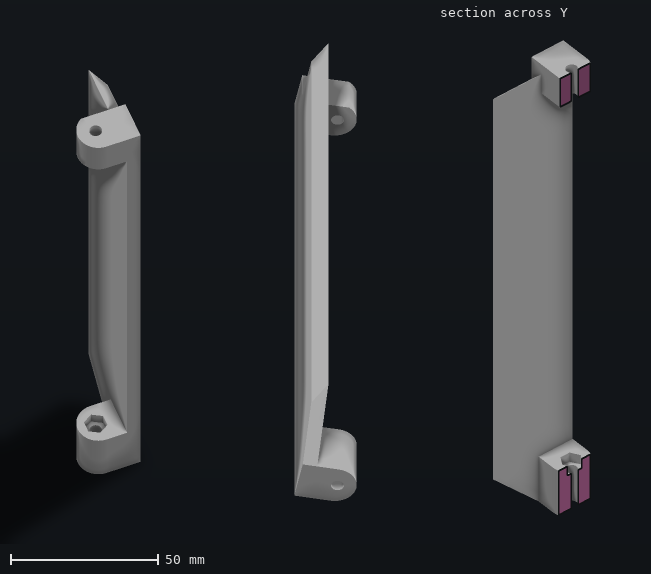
import cadquery as cq
import math

plate_width = 35.0
plate_thickness = 5.0
total_height = 191.2
edge_bevel = plate_thickness
tab_rise = 4.6
corner_height = 20.0

knuckle_width = 15.0
knuckle_radius = knuckle_width / 2
lower_knuckle_height = 19.6
upper_knuckle_height = 12.6
upper_knuckle_trim = 1.0

pivot_diameter = 4.4
pivot_distance = 8.5
nut_sides = 6
nut_across_flats = 7.0
nut_across_corners = nut_across_flats / math.cos(math.pi / nut_sides)
nut_pocket_depth = 4.0

knuckle_left = plate_width - knuckle_width
knuckle_middle = plate_width - knuckle_radius
tab_left = knuckle_left + upper_knuckle_trim
shoulder_height = total_height - tab_rise
upper_knuckle_bottom = total_height - upper_knuckle_height


def make_plate():
    """Plate with a slanted lower left corner, two bevelled edges and a raised tab."""
    blank = (
        cq.Workplane("XY")
        .polyline([
            (0, 0),
            (plate_width, 0),
            (plate_width, plate_thickness),
            (edge_bevel, plate_thickness),
        ])
        .close()
        .extrude(total_height)
    )
    upper_waste = (
        cq.Workplane("YZ")
        .polyline([
            (0, shoulder_height),
            (plate_thickness, shoulder_height - edge_bevel),
            (plate_thickness, total_height),
            (0, total_height),
        ])
        .close()
        .extrude(tab_left)
    )
    corner_waste = (
        cq.Workplane("XZ")
        .polyline([(0, 0), (knuckle_left, 0), (0, corner_height)])
        .close()
        .extrude(-plate_thickness)
    )
    return blank.cut(upper_waste).cut(corner_waste)


def make_knuckle(bottom, height):
    """D-shaped block with a rounded front and a pivot hole along Z."""
    block = (
        cq.Workplane("XY", origin=(0, 0, bottom))
        .moveTo(knuckle_left, 0)
        .lineTo(knuckle_left, -knuckle_radius)
        .threePointArc((knuckle_middle, -knuckle_width), (plate_width, -knuckle_radius))
        .lineTo(plate_width, 0)
        .close()
        .extrude(height)
    )
    pivot_hole = (
        cq.Workplane("XY", origin=(knuckle_middle, -pivot_distance, bottom))
        .circle(pivot_diameter / 2)
        .extrude(height)
    )
    return block.cut(pivot_hole)


def make_lower_knuckle():
    """Full-width knuckle with a hexagonal nut pocket in its upper face."""
    nut_pocket = (
        cq.Workplane("XY", origin=(knuckle_middle, -pivot_distance, lower_knuckle_height))
        .polygon(nut_sides, nut_across_corners)
        .extrude(-nut_pocket_depth)
    )
    return make_knuckle(0, lower_knuckle_height).cut(nut_pocket)


def make_upper_knuckle():
    """Knuckle at the top of the plate, trimmed flush with the left side of the tab."""
    trim = (
        cq.Workplane("XY", origin=(knuckle_left, 0, upper_knuckle_bottom))
        .rect(upper_knuckle_trim, -knuckle_width, centered=False)
        .extrude(upper_knuckle_height)
    )
    return make_knuckle(upper_knuckle_bottom, upper_knuckle_height).cut(trim)


plate = make_plate()
lower_knuckle = make_lower_knuckle()
upper_knuckle = make_upper_knuckle()

result = cq.Compound.makeCompound([plate.val(), lower_knuckle.val(), upper_knuckle.val()])